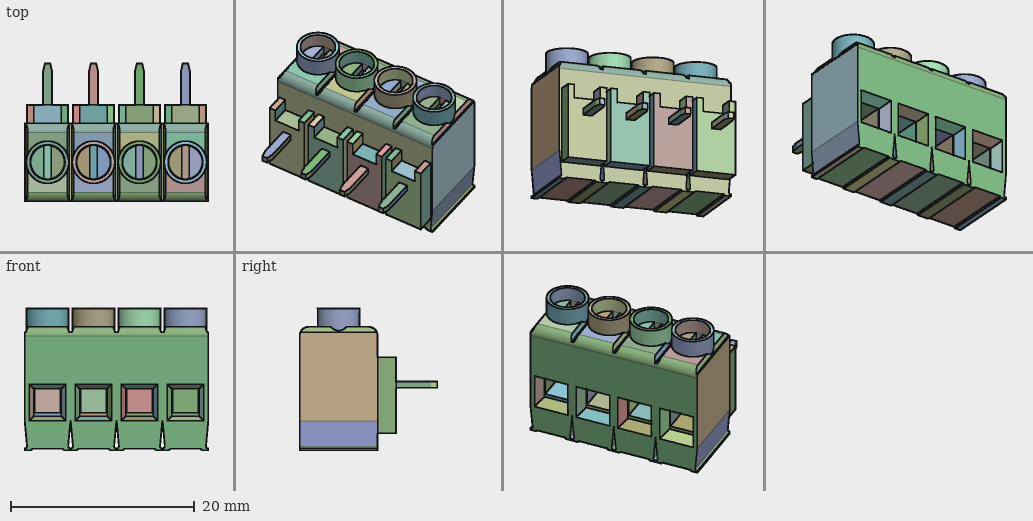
import cadquery as cq

POLES = 4
PITCH = 5.0
OVERLAP = 0.01

BODY_DEPTH = 8.5
BODY_HEIGHT = 13.45
EDGE_RADIUS = 1.0

GROOVE_FLOOR_HALF = 0.13
GROOVE_TOP_HALF = 0.37
GROOVE_DEPTH = 0.6

SLIT_TIP_Z = 3.2
SLIT_RADIUS = 0.25
SLIT_FLOOR_Z = 0.2

FOOT_HALF = 0.7
FOOT_SHOULDER_HALF = 0.85
FOOT_HEIGHT = 0.15

FUNNEL_MOUTH = 4.0
FUNNEL_THROAT = 3.0
FUNNEL_DEPTH = 1.5
FUNNEL_CENTER_Z = 5.2
CHAMBER_WIDTH = 2.8
CHAMBER_HEIGHT = 2.6
CHAMBER_DEPTH = 3.5

COLLAR_DIAMETER = 4.6
COLLAR_TOP = 15.45
COLLAR_BORE = 3.8
SCREW_HEAD_DIAMETER = 3.68
COLLAR_BORE_DEPTH = 1.6
SCREW_SLOT_WIDTH = 0.85
SCREW_SLOT_DEPTH = 1.0

BLOCK_WIDTH = 4.5
BLOCK_DEPTH = 2.0
BLOCK_BOTTOM = 1.85
BLOCK_TOP = 10.15
BLOCK_NOTCH_WIDTH = 3.0
BLOCK_NOTCH_DEPTH = 1.5

PIN_WIDTH = 1.0
PIN_THICKNESS = 0.7
PIN_LENGTH = 4.5
PIN_CENTER_Z = 7.15
PIN_TIP_WIDTH = 0.6
PIN_TIP_LENGTH = 0.85

BODY_LENGTH = POLES * PITCH
BODY_MID_Y = BODY_DEPTH / 2
GROOVE_FLOOR_Z = BODY_HEIGHT - GROOVE_DEPTH
BLOCK_BACK = BODY_DEPTH + BLOCK_DEPTH
PIN_END = BLOCK_BACK + PIN_LENGTH
POLE_CENTERS = [(i + 0.5) * PITCH for i in range(POLES)]
POLE_BORDERS = [i * PITCH for i in range(POLES + 1)]


def box(x_center, width, y_start, y_end, z_start, z_end):
    """Box centred on x_center, between the given Y and Z limits."""
    corner = (x_center - width / 2, y_start, z_start)
    return cq.Workplane("XY").box(width, y_end - y_start, z_end - z_start, centered=False).translate(corner)


def through_depth(profile):
    """Extrude an XZ profile through the full depth of the housing."""
    return profile.close().extrude(-BODY_DEPTH)


def housing():
    """Plain block with its front and rear top edges rounded."""
    block = box(BODY_LENGTH / 2, BODY_LENGTH, 0, BODY_DEPTH, 0, BODY_HEIGHT)
    return block.edges("|X and >Z").fillet(EDGE_RADIUS)


def top_groove(x):
    """Flat-bottomed V groove across the top face."""
    profile = cq.Workplane("XZ").polyline([
        (x - GROOVE_TOP_HALF, BODY_HEIGHT),
        (x - GROOVE_FLOOR_HALF, GROOVE_FLOOR_Z),
        (x + GROOVE_FLOOR_HALF, GROOVE_FLOOR_Z),
        (x + GROOVE_TOP_HALF, BODY_HEIGHT),
    ])
    return through_depth(profile)


def bottom_slit(x):
    """Slit widening downwards from a sharp tip to a round end."""
    round_center_z = SLIT_FLOOR_Z + SLIT_RADIUS
    profile = (
        cq.Workplane("XZ")
        .moveTo(x, SLIT_TIP_Z)
        .lineTo(x - SLIT_RADIUS, round_center_z)
        .threePointArc((x, SLIT_FLOOR_Z), (x + SLIT_RADIUS, round_center_z))
    )
    return through_depth(profile)


def foot_recess(x):
    """Shallow recess under one pole, leaving feet at the pole borders."""
    bottom_half = PITCH / 2 - FOOT_HALF
    top_half = PITCH / 2 - FOOT_SHOULDER_HALF
    profile = cq.Workplane("XZ").polyline([
        (x - bottom_half, 0),
        (x - top_half, FOOT_HEIGHT),
        (x + top_half, FOOT_HEIGHT),
        (x + bottom_half, 0),
    ])
    return through_depth(profile)


def wire_entry(x):
    """Square funnel in the front face, leading into a smaller chamber."""
    funnel = (
        cq.Workplane("XZ", origin=(x, 0, FUNNEL_CENTER_Z))
        .rect(FUNNEL_MOUTH, FUNNEL_MOUTH)
        .workplane(offset=-FUNNEL_DEPTH)
        .rect(FUNNEL_THROAT, FUNNEL_THROAT)
        .loft(ruled=True)
    )
    chamber_top = FUNNEL_CENTER_Z + FUNNEL_THROAT / 2
    chamber = box(
        x, CHAMBER_WIDTH,
        FUNNEL_DEPTH - OVERLAP, FUNNEL_DEPTH + CHAMBER_DEPTH,
        chamber_top - CHAMBER_HEIGHT, chamber_top,
    )
    return funnel.union(chamber)


def cylinder(x, diameter, z_start, z_end):
    """Vertical cylinder on the screw axis of the pole at x."""
    base = cq.Workplane("XY", origin=(x, BODY_MID_Y, z_start))
    return base.circle(diameter / 2).extrude(z_end - z_start)


def collar(x):
    """Cylinder rising from the floor level of the top grooves."""
    return cylinder(x, COLLAR_DIAMETER, GROOVE_FLOOR_Z - OVERLAP, COLLAR_TOP)


def screw_recess(x):
    """Slightly conical collar bore down to the screw head, with the driver slot below it."""
    head_z = COLLAR_TOP - COLLAR_BORE_DEPTH
    slot_floor = head_z - SCREW_SLOT_DEPTH
    bore = (
        cq.Workplane("XY", origin=(x, BODY_MID_Y, head_z))
        .circle(SCREW_HEAD_DIAMETER / 2)
        .workplane(offset=COLLAR_BORE_DEPTH)
        .circle(COLLAR_BORE / 2)
        .loft()
    )
    slot = box(x, SCREW_SLOT_WIDTH, 0, BODY_DEPTH, slot_floor, head_z)
    return bore.union(slot.intersect(cylinder(x, SCREW_HEAD_DIAMETER, slot_floor, head_z)))


def rear_block(x):
    """Block on the rear face with a notch between two upright tabs."""
    block = box(x, BLOCK_WIDTH, BODY_DEPTH - OVERLAP, BLOCK_BACK, BLOCK_BOTTOM, BLOCK_TOP)
    notch = box(x, BLOCK_NOTCH_WIDTH, BODY_DEPTH, BLOCK_BACK, BLOCK_TOP - BLOCK_NOTCH_DEPTH, BLOCK_TOP)
    return block.cut(notch)


def solder_pin(x):
    """Flat pin pointing to the rear, narrowed towards its tip."""
    half = PIN_WIDTH / 2
    tip_half = PIN_TIP_WIDTH / 2
    start = BLOCK_BACK - OVERLAP
    taper_start = PIN_END - PIN_TIP_LENGTH
    return (
        cq.Workplane("XY", origin=(x, 0, PIN_CENTER_Z - PIN_THICKNESS / 2))
        .polyline([
            (-half, start),
            (half, start),
            (half, taper_start),
            (tip_half, PIN_END),
            (-tip_half, PIN_END),
            (-half, taper_start),
        ])
        .close()
        .extrude(PIN_THICKNESS)
    )


result = housing()
for border in POLE_BORDERS:
    result = result.cut(top_groove(border)).cut(bottom_slit(border))
for center in POLE_CENTERS:
    result = result.cut(foot_recess(center)).cut(wire_entry(center))
    result = result.union(collar(center)).cut(screw_recess(center))
    result = result.union(rear_block(center)).union(solder_pin(center))